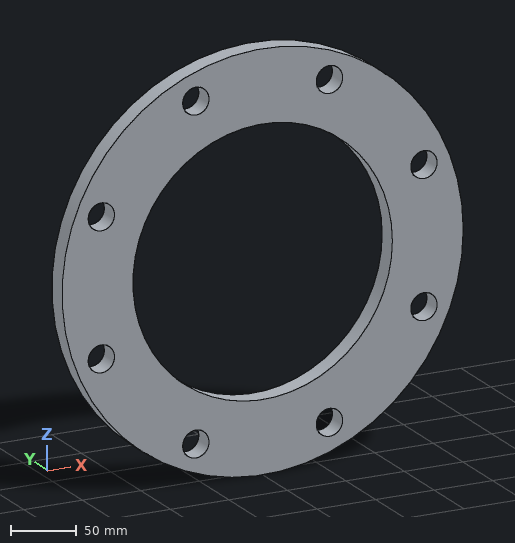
import cadquery as cq

outer_diameter = 343.0
bore_diameter = 221.5
thickness = 17.5

bolt_count = 8
bolt_hole_diameter = 22.3
bolt_circle_diameter = 298.3
bolt_pitch_angle = 360.0 / bolt_count


def make_ring():
    """Ring centred on the origin, with its faces normal to Y."""
    return (
        cq.Workplane("XZ", origin=(0, thickness / 2, 0))
        .circle(outer_diameter / 2)
        .circle(bore_diameter / 2)
        .extrude(thickness)
    )


def cut_bolt_holes(ring):
    """Drill the through holes, half a pitch off the axes."""
    return (
        ring.faces("<Y")
        .workplane(origin=(0, 0, 0))
        .polarArray(bolt_circle_diameter / 2, bolt_pitch_angle / 2, 360, bolt_count)
        .hole(bolt_hole_diameter)
    )


result = cut_bolt_holes(make_ring())